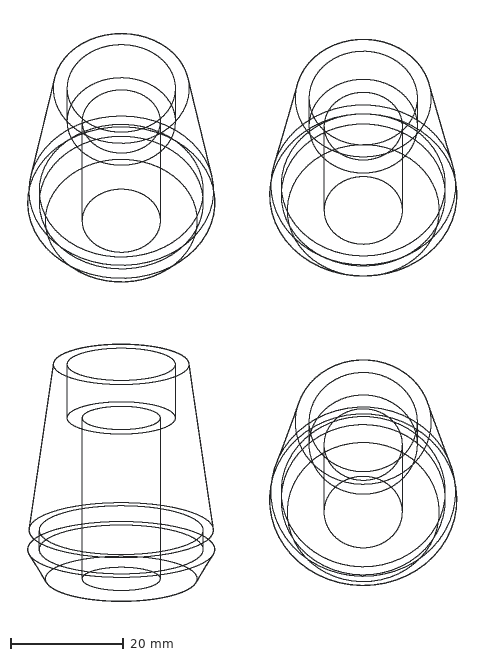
import cadquery as cq
import math

height = 40.0
flange_radius = 16.7

flange_height = 5.5
flange_angle = 30.0
bottom_radius = flange_radius - flange_height * math.tan(math.radians(flange_angle))

groove_radius = 14.6
groove_width = 3.6
body_base_z = flange_height + groove_width

body_base_radius = 16.45
body_angle = 8.0
top_radius = body_base_radius - (height - body_base_z) * math.tan(math.radians(body_angle))

bore_radius = 6.95
counterbore_radius = 9.65
counterbore_depth = 10.0
ledge_z = height - counterbore_depth

section = [
    (bore_radius, 0),
    (bottom_radius, 0),
    (flange_radius, flange_height),
    (groove_radius, flange_height),
    (groove_radius, body_base_z),
    (body_base_radius, body_base_z),
    (top_radius, height),
    (counterbore_radius, height),
    (counterbore_radius, ledge_z),
    (bore_radius, ledge_z),
]

result = cq.Workplane("XZ").polyline(section).close().revolve(360, (0, 0, 0), (0, 1, 0))